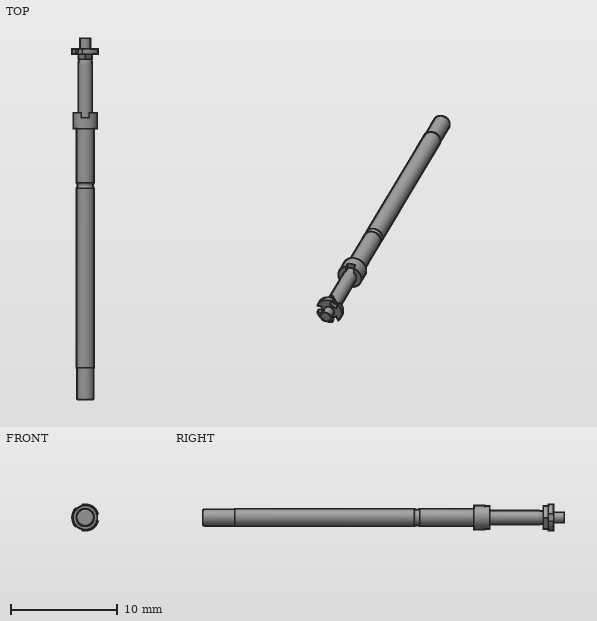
import cadquery as cq
import math

OVERALL_LENGTH = 34.0
COLLAR_LENGTH = 1.5
HEAD_LENGTH = 7.0
REAR_Y = COLLAR_LENGTH + HEAD_LENGTH
FRONT_Y = REAR_Y - OVERALL_LENGTH

STUB_RADIUS = 0.5
STUB_LENGTH = 1.0
FLANGE_RADIUS = 1.25
FLANGE_LENGTH = 0.5
SLOT_WIDTH = 0.7
SLOT_FLOOR_DISTANCE = 0.75
SLOT_COUNT = 3
KEY_FACE_ANGLE = math.radians(60)
KEY_HALF_WIDTH = 0.65
KEY_HALF_HEIGHT = KEY_HALF_WIDTH * math.tan(KEY_FACE_ANGLE)
KEY_TIP_RADIUS = 1.1
KEY_LENGTH = 0.5
NECK_REAR_RADIUS = 0.6
NECK_LENGTH = 0.4
STEM_RADIUS = 0.67

COLLAR_RADIUS = 1.15
NOTCH_WIDTH = 0.75
NOTCH_LENGTH = 0.5

BARREL_RADIUS = 0.84
GROOVE_START_Y = -5.1
GROOVE_WIDTH = 0.5
GROOVE_DEPTH = 0.1
TIP_RADIUS = 0.8
TIP_LENGTH = 3.0
TIP_ROUNDING = 0.2

FLANGE_FRONT_Y = REAR_Y - STUB_LENGTH - FLANGE_LENGTH
KEY_FRONT_Y = FLANGE_FRONT_Y - KEY_LENGTH
NECK_FRONT_Y = KEY_FRONT_Y - NECK_LENGTH


def section_plane(y):
    """Plane across the axis at y: local x is X, local y is Z, extrusion runs toward -Y."""
    return cq.Workplane("XZ", origin=(0, y, 0))


def cylinder(radius, rear_y, front_y):
    return section_plane(rear_y).circle(radius).extrude(rear_y - front_y)


def flange():
    """Disc divided into three lobes by flat-bottomed slots open at the rim."""
    rear_y = FLANGE_FRONT_Y + FLANGE_LENGTH
    disc = cylinder(FLANGE_RADIUS, rear_y, FLANGE_FRONT_Y)
    slot = (
        section_plane(rear_y)
        .center(SLOT_FLOOR_DISTANCE + FLANGE_RADIUS / 2, 0)
        .rect(FLANGE_RADIUS, SLOT_WIDTH)
        .extrude(FLANGE_LENGTH)
    )
    for i in range(SLOT_COUNT):
        disc = disc.cut(slot.rotate((0, 0, 0), (0, 1, 0), i * 360 / SLOT_COUNT))
    return disc


def key():
    """Diamond-section block in front of the flange, its upper and lower tips turned round."""
    corners = [(KEY_HALF_WIDTH, 0), (0, KEY_HALF_HEIGHT), (-KEY_HALF_WIDTH, 0), (0, -KEY_HALF_HEIGHT)]
    diamond = section_plane(FLANGE_FRONT_Y).polyline(corners).close().extrude(KEY_LENGTH)
    return diamond.intersect(cylinder(KEY_TIP_RADIUS, FLANGE_FRONT_Y, KEY_FRONT_Y))


def neck():
    """Cone that widens from the key to the stem."""
    return (
        section_plane(KEY_FRONT_Y)
        .circle(NECK_REAR_RADIUS)
        .workplane(offset=NECK_LENGTH)
        .circle(STEM_RADIUS)
        .loft(ruled=True)
    )


def collar():
    """Seating collar, notched down to the stem at its top and bottom rear edge."""
    body = cylinder(COLLAR_RADIUS, COLLAR_LENGTH, 0)
    notch = (
        section_plane(COLLAR_LENGTH)
        .rect(NOTCH_WIDTH, 2 * COLLAR_RADIUS)
        .extrude(NOTCH_LENGTH)
    )
    return body.cut(notch)


def barrel():
    """Front barrel with a round crimp groove and a slightly thinner, rounded tip."""
    groove_end_y = GROOVE_START_Y - GROOVE_WIDTH
    half_width = GROOVE_WIDTH / 2
    groove_mid_y = GROOVE_START_Y - half_width
    groove_floor = BARREL_RADIUS - GROOVE_DEPTH
    tip_start_y = FRONT_Y + TIP_LENGTH
    arc_radius = (half_width**2 + GROOVE_DEPTH**2) / (2 * GROOVE_DEPTH)
    profile = (
        cq.Workplane("XY")
        .moveTo(0, 0)
        .lineTo(BARREL_RADIUS, 0)
        .lineTo(BARREL_RADIUS, GROOVE_START_Y)
        .radiusArc((groove_floor, groove_mid_y), -arc_radius)
        .radiusArc((BARREL_RADIUS, groove_end_y), -arc_radius)
        .lineTo(BARREL_RADIUS, tip_start_y)
        .lineTo(TIP_RADIUS, tip_start_y)
        .lineTo(TIP_RADIUS, FRONT_Y + TIP_ROUNDING)
        .radiusArc((TIP_RADIUS - TIP_ROUNDING, FRONT_Y), TIP_ROUNDING)
        .lineTo(0, FRONT_Y)
        .close()
    )
    return profile.revolve(360, (0, 0, 0), (0, 1, 0))


result = (
    barrel()
    .union(collar())
    .union(cylinder(STEM_RADIUS, NECK_FRONT_Y, 0))
    .union(neck())
    .union(key())
    .union(flange())
    .union(cylinder(STUB_RADIUS, REAR_Y, FLANGE_FRONT_Y))
)